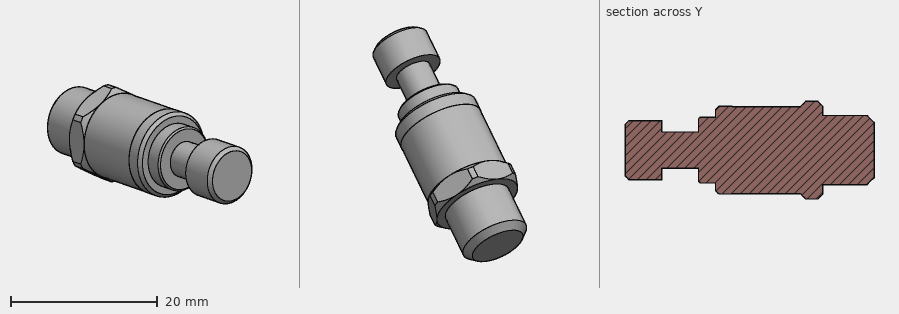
import cadquery as cq

total_length = 34.0
body_diameter = 11.95
rear_diameter = 12.0

spigot_diameter = 9.52
spigot_chamfer = 1.0

nut_start = 7.0
nut_end = 10.05
nut_across_flats = rear_diameter
nut_corner_diameter = 13.4
nut_chamfer = (nut_corner_diameter - nut_across_flats) / 2

rear_start = 19.4
rear_end = 21.7
rear_chamfer = 0.48

collar_diameter = 9.0
collar_end = 24.0
collar_chamfer = 0.25

stem_diameter = 5.0
head_start = 29.0
head_diameter = 8.1
head_chamfer = 0.5


def cylinder(start, end, diameter):
    """Solid cylinder on the X axis between two X positions."""
    return cq.Workplane("YZ").workplane(offset=start).circle(diameter / 2).extrude(end - start)


def make_nut():
    """Hexagon with corners at +Z and -Z, rounded and chamfered on both ends."""
    rounding = cylinder(nut_start, nut_end, nut_corner_diameter).edges().chamfer(nut_chamfer)
    hexagon = (
        cq.Workplane("YZ")
        .workplane(offset=nut_start)
        .polygon(6, nut_across_flats, circumscribed=True)
        .extrude(nut_end - nut_start)
    )
    return hexagon.intersect(rounding)


spigot = cylinder(0, nut_start, spigot_diameter).faces("<X").chamfer(spigot_chamfer)
body = cylinder(nut_end, rear_start, body_diameter)
rear = cylinder(rear_start, rear_end, rear_diameter).faces(">X").chamfer(rear_chamfer)
collar = cylinder(rear_end, collar_end, collar_diameter).faces(">X").chamfer(collar_chamfer)
stem = cylinder(collar_end, head_start, stem_diameter)
head = cylinder(head_start, total_length, head_diameter).faces(">X").chamfer(head_chamfer)

result = spigot.union(make_nut()).union(body).union(rear).union(collar).union(stem).union(head)